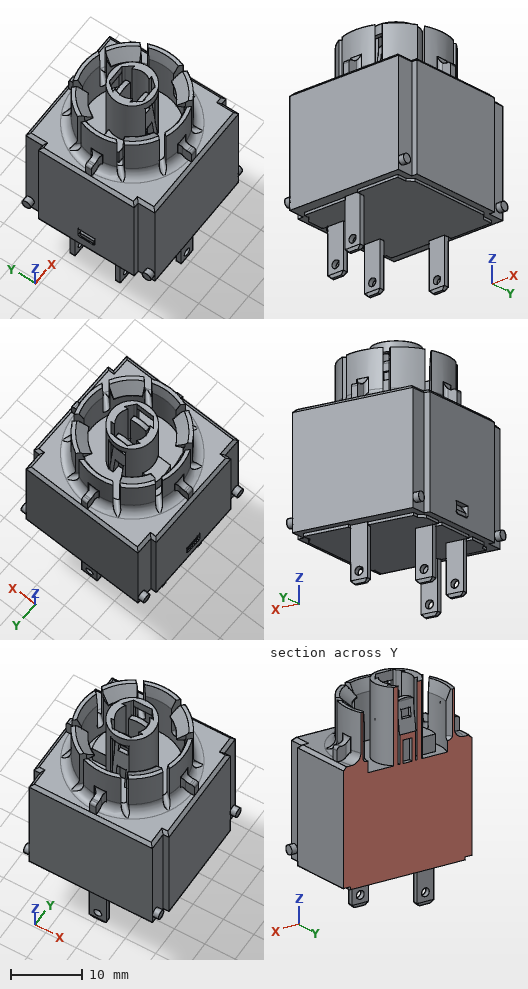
import cadquery as cq
import math


plate_bottom = 8.3
body_bottom = 8.75
body_top = 27.0
floor_z = 25.3
collar_top = 34.6
socket_top = 37.1

body_half = 11.1
end_block_half_x = 10.13
side_panel_half_y = 8.25
top_chamfer = 0.52

pin_dia = 1.5
pin_y = body_half - pin_dia / 2
pin_z = 10.45

collar_radius = 8.57
bore_radius = 14.7 / 2
rim_inner_radius = 7.95
lead_in_bottom = 32.65
base_fillet = 1.5
slot_width = 1.0
slot_offset = 2.97
wall_overlap = 0.37

hook_radius = 6.25
hook_edge_top = 33.1
hook_edge_bottom = 32.95
hook_half_angle = 19.0

rib_width = 1.05
rib_flare = 0.5
rib_reach = 10.58
rib_top = 29.2
rib_arc_radius = 1.22
rib_corner = 0.5

socket_radius = 7.4 / 2
key_arc_radius = 2.5
key_shoulder = (1.95, 1.5)
key_tip_x = 2.6
key_bevel = (1.78, 2.52)
window_half_width = 1.52
key_end = (window_half_width, 2.85)
window_top = 35.6

contact_half_width = 1.4
contact_inner_y = 1.35
contact_outer_top_y = 2.1
contact_outer_bottom_y = 3.35
contact_shoulder_z = 34.48
contact_top = 34.8
contact_hole_width = 1.6
contact_hole_bottom = 31.88
contact_hole_top = 33.25
contact_hole_floor_y = 1.85
contact_notch_half_width = 0.75
contact_notch_top = 28.75

pad_radius = 5.83
pad_width = 3.38
pad_top = 27.95

latch_window_width = 2.9
latch_window_bottom = 10.45
latch_window_top = 12.3
latch_window_depth = 1.0
latch_window_corner = 0.25
latch_width = 2.4
latch_recess = 0.2
latch_edge_z = 11.15

plate_half_x = 9.95
plate_end_half_x = 9.0
plate_corner_y = 7.3
plate_short_y = 9.25
plate_long_y = 9.95

terminal_thickness = 0.85
terminal_hole_dia = 1.3
terminal_tip_length = 0.52
terminal_tip_thinning = 0.2
terminal_root = body_bottom + 0.37
front_terminal = (0.07, 8.95, 2.82, 0.0, 1.78)
side_terminal = (-7.55, 3.9, 2.9, 0.15, 2.05)


def box(x0, x1, y0, y1, z0, z1):
    """Box between opposite corners."""
    return cq.Workplane("XY").box(x1 - x0, y1 - y0, z1 - z0, centered=False).translate((x0, y0, z0))


def disc(radius, z0, z1):
    """Upright cylinder on the Z axis."""
    return cq.Workplane("XY").workplane(offset=z0).circle(radius).extrude(z1 - z0)


def revolved(profile):
    """Full turn about Z of a closed (radius, z) polygon."""
    return cq.Workplane("XZ").polyline(profile).close().revolve(360, (0, 0), (0, 1))


def mirrored_y(shape):
    """A shape joined with its mirror image across the XZ plane."""
    return shape.union(shape.mirror("XZ"))


def make_body():
    """Cross-shaped block with a chamfered top edge and four locating pins."""
    height = body_top - body_bottom
    ends = cq.Workplane("XY").rect(2 * end_block_half_x, 2 * body_half).extrude(height)
    sides = cq.Workplane("XY").rect(2 * body_half, 2 * side_panel_half_y).extrude(height)
    body = ends.union(sides).translate((0, 0, body_bottom))
    body = body.faces(">Z").chamfer(top_chamfer)
    pins = (
        cq.Workplane("YZ")
        .workplane(offset=-body_half)
        .pushPoints([(-pin_y, pin_z), (pin_y, pin_z)])
        .circle(pin_dia / 2)
        .extrude(2 * body_half)
    )
    return body.union(pins)


def make_latch_window():
    """Pocket in the -X panel, with the latch nose that is left standing inside it."""
    pocket = (
        box(-body_half, latch_window_depth - body_half, -latch_window_width / 2, latch_window_width / 2,
            latch_window_bottom, latch_window_top)
        .edges("|X and <Z")
        .chamfer(latch_window_corner)
    )
    outer_x = latch_recess - body_half
    inner_x = latch_window_depth - body_half
    nose = (
        cq.Workplane("XZ")
        .polyline([
            (outer_x, latch_window_bottom),
            (outer_x, latch_edge_z),
            (inner_x, latch_window_top),
            (inner_x, latch_window_bottom),
        ])
        .close()
        .extrude(latch_width / 2, both=True)
    )
    return pocket.cut(nose)


def make_collar():
    """Ring wall with a concave foot and a conical lead-in at the rim."""
    foot_radius = collar_radius + base_fillet
    foot_top = body_top + base_fillet
    bend = base_fillet * (1 - math.sqrt(0.5))
    return (
        cq.Workplane("XZ")
        .moveTo(bore_radius, floor_z)
        .lineTo(foot_radius, floor_z)
        .lineTo(foot_radius, body_top)
        .threePointArc((collar_radius + bend, body_top + bend), (collar_radius, foot_top))
        .lineTo(collar_radius, collar_top)
        .lineTo(rim_inner_radius, collar_top)
        .lineTo(bore_radius, lead_in_bottom)
        .close()
        .revolve(360, (0, 0), (0, 1))
    )


def make_hooks():
    """Four inward hooks centred on the diagonals."""
    root = bore_radius + wall_overlap
    ring = revolved([
        (rim_inner_radius, collar_top),
        (hook_radius, hook_edge_top),
        (hook_radius, hook_edge_bottom),
        (root, hook_edge_bottom),
    ])
    reach = 2 * collar_radius
    spread = reach * math.tan(math.radians(hook_half_angle))
    wedge = (
        cq.Workplane("XY")
        .polyline([(0, 0), (reach, -spread), (reach, spread)])
        .close()
        .extrude(socket_top)
    )
    hook = ring.intersect(wedge)
    hooks = cq.Workplane("XY")
    for quarter in range(4):
        hooks = hooks.union(hook.rotate((0, 0, 0), (0, 0, 1), 45 + 90 * quarter))
    return hooks


def make_rib():
    """Rib on the +X side: stepped side profile, flared in plan where it meets the wall."""
    root = collar_radius - wall_overlap
    half = rib_width / 2
    arc_start = collar_radius + rib_arc_radius
    root_top = rib_top + rib_arc_radius
    bend = 1 - math.sqrt(0.5)
    profile = (
        cq.Workplane("XZ")
        .moveTo(root, floor_z)
        .lineTo(rib_reach, floor_z)
        .lineTo(rib_reach, rib_top - rib_corner)
        .threePointArc(
            (rib_reach - bend * rib_corner, rib_top - bend * rib_corner),
            (rib_reach - rib_corner, rib_top),
        )
        .lineTo(arc_start, rib_top)
        .threePointArc(
            (collar_radius + bend * rib_arc_radius, rib_top + bend * rib_arc_radius),
            (collar_radius, root_top),
        )
        .lineTo(root, root_top)
        .close()
        .extrude(half + rib_flare, both=True)
    )
    plan = (
        cq.Workplane("XY")
        .moveTo(root, -half - rib_flare)
        .lineTo(collar_radius, -half - rib_flare)
        .threePointArc(
            (collar_radius + bend * rib_flare, -half - bend * rib_flare),
            (collar_radius + rib_flare, -half),
        )
        .lineTo(rib_reach, -half)
        .lineTo(rib_reach, half)
        .lineTo(collar_radius + rib_flare, half)
        .threePointArc(
            (collar_radius + bend * rib_flare, half + bend * rib_flare),
            (collar_radius, half + rib_flare),
        )
        .lineTo(root, half + rib_flare)
        .close()
        .extrude(socket_top)
    )
    return profile.intersect(plan)


def make_slots():
    """Round-bottomed slots, a pair parallel to each diagonal, running through the whole collar."""
    radius = slot_width / 2
    reach = collar_radius + base_fillet
    channel = (
        cq.Workplane("YZ")
        .center(slot_offset, body_top + radius)
        .circle(radius)
        .extrude(reach, both=True)
        .union(box(-reach, reach, slot_offset - radius, slot_offset + radius, body_top + radius, socket_top))
    )
    pair = mirrored_y(channel)
    return pair.rotate((0, 0, 0), (0, 0, 1), 45).union(pair.rotate((0, 0, 0), (0, 0, 1), 135))


def make_keyhole():
    """Upright keyed opening of the lamp socket."""
    shoulder_x, shoulder_y = key_shoulder
    upper_right = [(key_tip_x, shoulder_y), key_bevel, key_end]
    upper_left = [(-x, y) for x, y in reversed(upper_right)]
    lower_left = [(-x, -y) for x, y in upper_right]
    lower_right = [(x, -y) for x, y in reversed(upper_right)]
    return (
        cq.Workplane("XY")
        .workplane(offset=floor_z)
        .moveTo(shoulder_x, -shoulder_y)
        .threePointArc((key_arc_radius, 0), (shoulder_x, shoulder_y))
        .polyline(upper_right + upper_left, includeCurrent=True)
        .lineTo(-shoulder_x, shoulder_y)
        .threePointArc((-key_arc_radius, 0), (-shoulder_x, -shoulder_y))
        .polyline(lower_left + lower_right, includeCurrent=True)
        .close()
        .extrude(socket_top - floor_z)
    )


def make_contact():
    """Contact on the +Y side: sloping outer face, arched top, opening and a notch between two legs."""
    blade = (
        cq.Workplane("YZ")
        .polyline([
            (contact_inner_y, floor_z),
            (contact_inner_y, contact_top),
            (contact_outer_top_y, contact_top),
            (contact_outer_top_y, contact_shoulder_z),
            (contact_outer_bottom_y, floor_z),
        ])
        .close()
        .extrude(contact_half_width, both=True)
    )
    outline = (
        cq.Workplane("XZ")
        .moveTo(-contact_half_width, floor_z)
        .lineTo(-contact_half_width, contact_shoulder_z)
        .threePointArc((0, contact_top), (contact_half_width, contact_shoulder_z))
        .lineTo(contact_half_width, floor_z)
        .close()
        .extrude(-socket_radius)
    )
    opening = box(-contact_hole_width / 2, contact_hole_width / 2, contact_hole_floor_y, socket_radius,
                  contact_hole_bottom, contact_hole_top)
    notch = box(-contact_notch_half_width, contact_notch_half_width, contact_outer_top_y, socket_radius,
                floor_z, contact_notch_top)
    return blade.intersect(outline).cut(opening).cut(notch)


def make_socket():
    """Keyed tube with a window on each Y side and a contact in each window."""
    window = box(-window_half_width, window_half_width, -socket_radius, socket_radius, floor_z, window_top)
    tube = disc(socket_radius, floor_z, socket_top).cut(make_keyhole()).cut(window)
    return tube.union(mirrored_y(make_contact()))


def make_pad():
    """Raised pad between the socket and the -X side of the collar."""
    strip = box(-pad_radius, 0, -pad_width / 2, pad_width / 2, floor_z, pad_top)
    return strip.intersect(disc(pad_radius, floor_z, pad_top)).cut(disc(socket_radius, floor_z, pad_top))


def make_bottom_plate():
    """Thin plate under the body, with corner cuts and recesses around the terminals."""
    front_x, front_y, front_width = front_terminal[:3]
    side_x, side_y, side_width = side_terminal[:3]
    half_thick = terminal_thickness / 2
    front_edge = front_x + front_width / 2
    outline = [
        (-plate_half_x, 0),
        (-plate_half_x, plate_corner_y),
        (-plate_end_half_x, side_panel_half_y),
        (-plate_end_half_x, plate_short_y),
        (front_edge, plate_short_y),
        (front_edge, plate_long_y),
        (plate_end_half_x, plate_long_y),
        (plate_end_half_x, side_panel_half_y),
        (plate_half_x, plate_corner_y),
        (plate_half_x, 0),
    ]
    plate = (
        cq.Workplane("XY")
        .workplane(offset=plate_bottom)
        .polyline(outline)
        .close()
        .extrude(body_bottom - plate_bottom)
    )
    front_recess = box(front_x - front_width / 2, front_edge, front_y - half_thick, plate_long_y,
                       plate_bottom, body_bottom)
    side_recess = box(-plate_half_x, side_x + side_width / 2, side_y - half_thick, side_y + half_thick,
                      plate_bottom, body_bottom)
    return mirrored_y(plate.cut(front_recess).cut(side_recess))


def make_terminal(x, y, width, tip, hole_z):
    """Flat blade in the XZ plane with a bevelled tip and a round hole."""
    half = width / 2
    half_thick = terminal_thickness / 2
    shoulder = tip + terminal_tip_length
    face = (
        cq.Workplane("XZ")
        .polyline([
            (-half, terminal_root),
            (-half, shoulder),
            (-half + terminal_tip_length, tip),
            (half - terminal_tip_length, tip),
            (half, shoulder),
            (half, terminal_root),
        ])
        .close()
        .extrude(half_thick, both=True)
    )
    edge = (
        cq.Workplane("YZ")
        .polyline([
            (-half_thick, terminal_root),
            (-half_thick, shoulder),
            (-half_thick + terminal_tip_thinning, tip),
            (half_thick - terminal_tip_thinning, tip),
            (half_thick, shoulder),
            (half_thick, terminal_root),
        ])
        .close()
        .extrude(half, both=True)
    )
    hole = (
        cq.Workplane("XZ")
        .center(0, hole_z)
        .circle(terminal_hole_dia / 2)
        .extrude(terminal_thickness, both=True)
    )
    return face.intersect(edge).cut(hole).translate((x, y, 0))


result = make_body().cut(make_latch_window())
result = result.cut(disc(bore_radius, floor_z, body_top))
collar = make_collar().union(make_hooks())
rib = make_rib()
for quarter in range(4):
    collar = collar.union(rib.rotate((0, 0, 0), (0, 0, 1), 90 * quarter))
result = result.union(collar.cut(make_slots()))

result = result.union(make_socket()).union(make_pad())

result = result.union(make_bottom_plate())
for terminal in (front_terminal, side_terminal):
    result = result.union(mirrored_y(make_terminal(*terminal)))